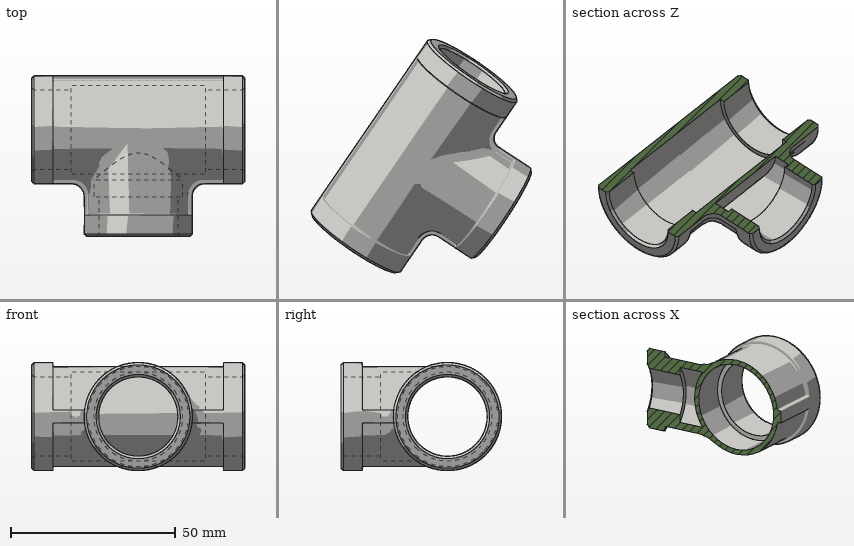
import cadquery as cq

RUN_LENGTH = 65.0
HALF_RUN = RUN_LENGTH / 2
BRANCH_REACH = HALF_RUN

COLLAR_RADIUS = 16.5
COLLAR_LENGTH = 6.55
TUBE_RADIUS = 15.3
RIB_WIDTH = 4.0
CROTCH_CENTRE = 20.2
STEP_ROUNDING = 0.3
END_CHAMFER = 0.8

BORE_RADIUS = 24.1 / 2
BORE_DEPTH = 12.0
CAVITY_RADIUS = 27.1 / 2
RUN_WALL_RADIUS = TUBE_RADIUS


def run_cylinder(radius, reach):
    """Cylinder along X, reaching equally far to both sides of the origin."""
    return cq.Workplane("YZ").circle(radius).extrude(reach, both=True)


def branch_cylinder(radius, reach):
    """Cylinder from the origin towards -Y."""
    return cq.Workplane("XZ").circle(radius).extrude(reach)


def rounded_tee(radius):
    """Tee with the crotch between run and branch rounded about the common centre."""
    tee = run_cylinder(radius, HALF_RUN).union(branch_cylinder(radius, BRANCH_REACH))
    return tee.edges("%ELLIPSE").fillet(CROTCH_CENTRE - radius)


def recess(side):
    """Space around the tube between the collars, above (side = 1) or below (side = -1) the ribs."""
    reach = HALF_RUN - COLLAR_LENGTH
    block = (
        cq.Workplane("XY", origin=(0, 0, side * RIB_WIDTH / 2))
        .rect(2 * reach, 2 * reach)
        .extrude(side * COLLAR_RADIUS)
    )
    return block.cut(rounded_tee(TUBE_RADIUS))


def outer_body():
    """Solid tee with the recesses cut to leave the collars and ribs standing proud."""
    body = rounded_tee(COLLAR_RADIUS)
    for side in (1, -1):
        body = body.cut(recess(side))
    body = body.clean()

    inside_ends = HALF_RUN - COLLAR_LENGTH / 2
    corner = (inside_ends, inside_ends, inside_ends)
    opposite_corner = (-inside_ends, -inside_ends, -inside_ends)
    walls = body.faces("%PLANE").faces(cq.selectors.BoxSelector(opposite_corner, corner))
    return walls.edges().fillet(STEP_ROUNDING)


def run_hollow():
    """Bore through both ends of the run, with the wider cavity between."""
    bore = run_cylinder(BORE_RADIUS, HALF_RUN)
    return bore.union(run_cylinder(CAVITY_RADIUS, HALF_RUN - BORE_DEPTH))


def branch_hollow():
    """Branch bore and cavity, closed at the bottom by the unbroken wall of the run."""
    bore = branch_cylinder(BORE_RADIUS, BRANCH_REACH)
    cavity = branch_cylinder(CAVITY_RADIUS, BRANCH_REACH - BORE_DEPTH)
    return bore.union(cavity).cut(run_cylinder(RUN_WALL_RADIUS, HALF_RUN))


tee = outer_body().cut(run_hollow()).cut(branch_hollow())

result = tee.faces("<X or >X or <Y").edges().chamfer(END_CHAMFER)